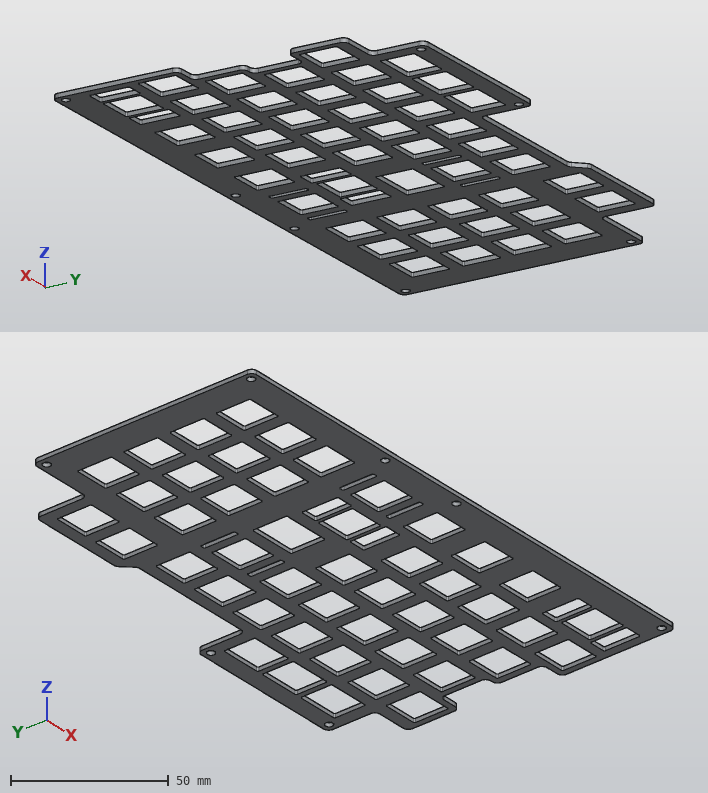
import cadquery as cq

length = 210.0
depth = 126.2
thickness = 1.6

number_row_span = 114.2
number_row_keys = 7
pitch = number_row_span / (number_row_keys - 1)
main_x = 81.5
left_block_gap = 3.25 * pitch
left_x = main_x - left_block_gap
bottom_row_y = 18.5
upper_left_y = 99.8
top_x = 137.8
top_y = 112.8

key_size = 14.0
key_corner_radius = 0.5
wide_key_width = 19.1
top_window_width = 16.8
top_window_height = 12.8
slot_width = 1.9
slot_height = 14.0
slot_offset = 11.5
stabilizer_width = 7.0
stabilizer_height = 15.0
stabilizer_offset = 12.0
stabilizer_shift = 0.52

hole_diameter = 3.0
hole_inset = 3.2
inner_hole_x = 69.7

corner_radius = 2.0
left_shoulder_x = 26.9
left_shoulder_y = 90.5
left_top_y = 111.5
slope_start_x = 66.5
slope_end_x = 71.5
number_row_edge_y = 106.5
top_tab_left = 124.5
top_tab_right = 189.5
number_row_edge_x = 205.2
notch_x = 195.7
home_row_edge_x = 200.8


def row_y(row):
    """Centre of a key row, counted up from the bottom row."""
    return bottom_row_y + row * pitch


def main_key_x(units):
    """Key centre in the main block, in pitches from the first number key."""
    return main_x + units * pitch


def openings(centres, width, height, radius=key_corner_radius):
    """Rectangular cutters with rounded corners, through the plate."""
    cutters = cq.Workplane("XY").pushPoints(centres).rect(width, height).extrude(thickness)
    return cutters.edges("|Z").fillet(radius)


def beside(centre, offset, shift=0.0):
    """The two places left and right of a key centre."""
    x, y = centre
    return [(x - offset, y + shift), (x + offset, y + shift)]


notch_top_y = row_y(3) + pitch / 2
notch_bottom_y = row_y(3) - pitch / 2
home_row_bottom_y = row_y(2) - pitch / 2

outline = [
    (0, 0),
    (length, 0),
    (length, home_row_bottom_y),
    (home_row_edge_x, home_row_bottom_y),
    (home_row_edge_x, notch_bottom_y),
    (notch_x, notch_bottom_y),
    (notch_x, notch_top_y),
    (number_row_edge_x, notch_top_y),
    (number_row_edge_x, number_row_edge_y),
    (top_tab_right, number_row_edge_y),
    (top_tab_right, depth),
    (top_tab_left, depth),
    (top_tab_left, number_row_edge_y),
    (slope_end_x, number_row_edge_y),
    (slope_start_x, left_top_y),
    (left_shoulder_x, left_top_y),
    (left_shoulder_x, left_shoulder_y),
    (0, left_shoulder_y),
]
plate = cq.Workplane("XY").polyline(outline).close().extrude(thickness)
plate = plate.edges("|Z").fillet(corner_radius)

left_columns = [left_x + column * pitch for column in range(3)]
left_keys = [(x, row_y(row)) for x in left_columns for row in range(4)]
left_keys += [(x, upper_left_y) for x in left_columns[1:]]

main_rows = [
    [0.25, 1.625, 2.875, 4.125, 5.75],
    [0.625, 2.25, 3.25, 4.25, 5.25, 6.25],
    [1.75, 2.75, 3.75, 4.75, 5.75],
    [0.25, 1.5, 2.5, 3.5, 4.5, 5.5],
    range(number_row_keys),
]
main_keys = [(main_key_x(units), row_y(row)) for row, places in enumerate(main_rows) for units in places]

wide_key = (main_key_x(0.25), row_y(2))
top_windows = [(top_x + column * pitch, top_y) for column in range(3)]

slots = beside((main_key_x(0.25), row_y(0)), slot_offset)
slots += beside((main_key_x(0.25), row_y(3)), slot_offset)
stabilizers = beside((main_key_x(0.625), row_y(1)), stabilizer_offset, -stabilizer_shift)
stabilizers += beside((main_key_x(5.75), row_y(0)), stabilizer_offset, stabilizer_shift)

plate = plate.cut(openings(left_keys + main_keys, key_size, key_size))
plate = plate.cut(openings([wide_key], wide_key_width, key_size))
plate = plate.cut(openings(top_windows, top_window_width, top_window_height))
plate = plate.cut(openings(slots, slot_width, slot_height))
plate = plate.cut(openings(stabilizers, stabilizer_width, stabilizer_height))

front_hole_xs = [hole_inset, inner_hole_x, length / 2, length - hole_inset]
hole_centres = [(x, hole_inset) for x in front_hole_xs]
hole_centres += [
    (hole_inset, left_shoulder_y - hole_inset),
    (top_tab_left + hole_inset, depth - hole_inset),
    (top_tab_right - hole_inset, depth - hole_inset),
]
holes = cq.Workplane("XY").pushPoints(hole_centres).circle(hole_diameter / 2).extrude(thickness)

result = plate.cut(holes)